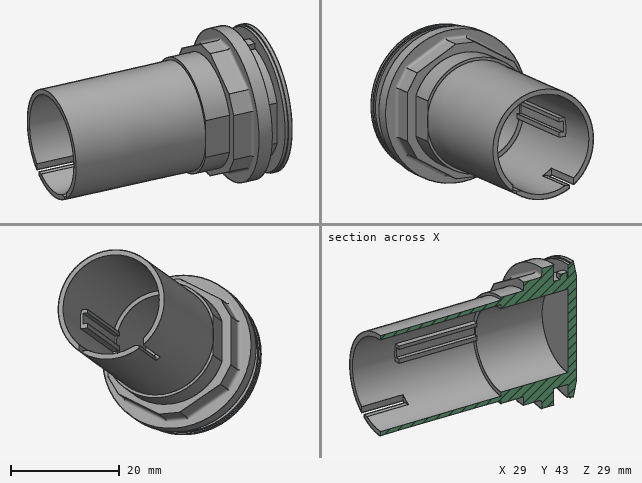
import cadquery as cq
import math

total_length = 43.0

slot_end = 9.05
clip_start = 9.25
tube_end = 26.35
nut_start = 31.3
flange_start = 35.25
flange_end = 37.95
cap_start = 40.95
rim_start = 41.55
rim_end = 42.25

mouth_diameter = 20.73
tube_root_diameter = 20.85
neck_diameter = 21.95
flange_diameter = 29.0
body_diameter = 22.2
cap_lip_diameter = 27.4
rim_diameter = 27.9
crown_diameter = 21.05

tube_bore_diameter = 18.8
inner_bore_diameter = 17.1

flats_width = 20.55

nut_long_sides_width = 24.0
nut_short_sides_width = 25.35
nut_fillet = 0.55

tab_width = 2.2
tab_start = 39.25
tab_end = 40.85
tab_top = 12.13

slot_outer_x = 6.28
slot_step_x = 5.45
slot_inner_x = 4.1
slot_step_z = -8.25
slot_top_z = -6.45

clip_inner_x = 8.0
clip_back_x = 8.85
clip_top = 2.2
clip_bottom = -1.38
clip_gap_top = 1.5
clip_gap_bottom = -0.47


def section(y):
    """Sketch plane across the axis at y, with local +X along X and local +Y along Z, extruding to -Y."""
    return cq.Workplane("XZ", origin=(0, y, 0))


def disc(diameter, y_start, y_end):
    return section(y_end).circle(diameter / 2).extrude(y_end - y_start)


def cone(start_diameter, end_diameter, y_start, y_end):
    profile = [
        (0, y_start),
        (start_diameter / 2, y_start),
        (end_diameter / 2, y_end),
        (0, y_end),
    ]
    return cq.Workplane("XY").polyline(profile).close().revolve(360, (0, 0), (0, 1))


def block(x_start, x_end, y_start, y_end, z_start, z_end):
    size = (x_end - x_start, y_end - y_start, z_end - z_start)
    return cq.Workplane("XY").box(*size, centered=False).translate((x_start, y_start, z_start))


def both_sides(shape):
    return shape.union(shape.mirror("YZ"))


def flatted_disc(diameter, y_start, y_end):
    half_flats = flats_width / 2
    between_flats = block(-half_flats, half_flats, y_start, y_end, -diameter, diameter)
    return disc(diameter, y_start, y_end).intersect(between_flats)


def hexagon(flat_width, first_corner_angle):
    corner_radius = flat_width / math.sqrt(3)
    corners = []
    for i in range(6):
        angle = math.radians(first_corner_angle + 60 * i)
        corners.append((corner_radius * math.cos(angle), corner_radius * math.sin(angle)))
    return section(flange_start).polyline(corners).close().extrude(flange_start - nut_start)


def nut_and_flange():
    nut = hexagon(nut_long_sides_width, 30).intersect(hexagon(nut_short_sides_width, 0))
    joined = disc(flange_diameter, flange_start, flange_end).union(nut)
    half_step = nut_fillet / 2
    reach = flange_diameter / 2 - half_step
    seam = cq.selectors.BoxSelector(
        (-reach, flange_start - half_step, -reach),
        (reach, flange_start + half_step, reach),
        boundingbox=True,
    )
    return joined.edges(seam).fillet(nut_fillet)


def cap():
    lip = disc(cap_lip_diameter, cap_start, rim_start)
    rim = disc(rim_diameter, rim_start, rim_end)
    crown = cone(rim_diameter, crown_diameter, rim_end, total_length)
    return lip.union(rim).union(crown)


def tab():
    return block(-tab_width / 2, tab_width / 2, tab_start, tab_end, 0, tab_top)


def bore():
    tube_bore = disc(tube_bore_diameter, 0, tube_end)
    return tube_bore.union(disc(inner_bore_diameter, tube_end, cap_start))


def mouth_slots():
    """A lengthwise gap on each side, widened on the bore side by a step."""
    deep = block(slot_step_x, slot_outer_x, 0, slot_end, -mouth_diameter / 2, slot_top_z)
    step = block(slot_inner_x, slot_outer_x, 0, slot_end, slot_step_z, slot_top_z)
    return both_sides(deep.union(step))


def guide_rails():
    wall_middle_x = (mouth_diameter + tube_bore_diameter) / 4
    rail = block(clip_inner_x, wall_middle_x, clip_start, tube_end, clip_bottom, clip_top)
    gap = block(clip_inner_x, clip_back_x, clip_start, tube_end, clip_gap_bottom, clip_gap_top)
    return both_sides(rail.cut(gap))


result = cone(mouth_diameter, tube_root_diameter, 0, tube_end)
result = result.union(flatted_disc(neck_diameter, tube_end, nut_start))
result = result.union(nut_and_flange())
result = result.union(flatted_disc(body_diameter, flange_end, cap_start))
result = result.union(cap()).union(tab())
result = result.cut(bore()).cut(mouth_slots()).union(guide_rails())